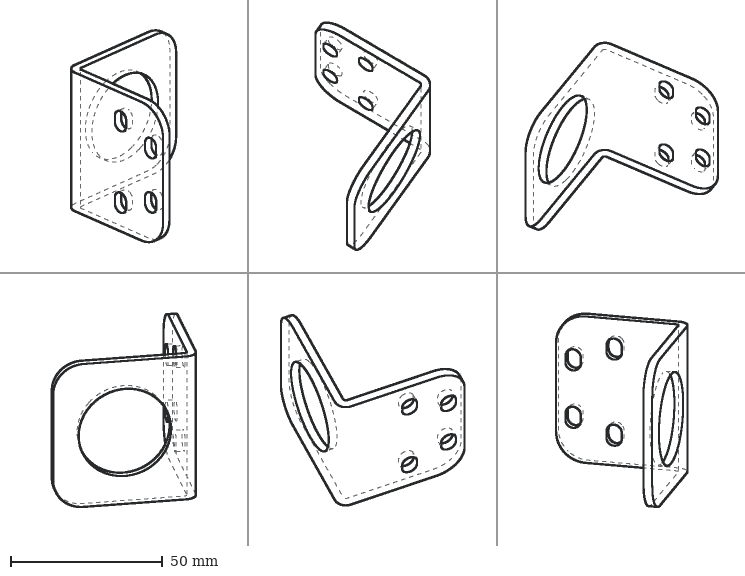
import cadquery as cq

width = 45.0
depth = 48.5
height = 51.0

thickness = 3.0
inner_bend_radius = 1.0
outer_bend_radius = inner_bend_radius + thickness
corner_radius = 10.0

hole_diameter = 31.0
hole_to_free_edge = 24.0

slot_width = 5.2
slot_length = 7.3
slot_pairs = [(19.8, 30.0), (5.8, 20.0)]


def make_angle():
    """L-shaped sheet with its outer bend corner at the origin, centred on Z = 0."""
    profile = (
        cq.Workplane("XY")
        .moveTo(0, 0)
        .lineTo(width, 0)
        .lineTo(width, thickness)
        .lineTo(thickness, thickness)
        .lineTo(thickness, depth)
        .lineTo(0, depth)
        .close()
    )
    angle = profile.extrude(height / 2, both=True)
    outer_corner = cq.selectors.NearestToPointSelector((0, 0, 0))
    angle = angle.edges(outer_corner).fillet(outer_bend_radius)
    inner_corner = cq.selectors.NearestToPointSelector((thickness, thickness, 0))
    return angle.edges(inner_corner).fillet(inner_bend_radius)


def round_free_corners(angle):
    """Round the upper and lower corners at the free end of each leg."""
    angle = angle.faces(">X").edges("|Y").fillet(corner_radius)
    return angle.faces(">Y").edges("|X").fillet(corner_radius)


def make_hole_cutter():
    """Cylinder through the side leg along X."""
    return (
        cq.Workplane("YZ")
        .center(depth - hole_to_free_edge, 0)
        .circle(hole_diameter / 2)
        .extrude(thickness)
    )


def make_slot_cutter():
    """All slots through the front leg along Y."""
    centres = [
        (width - edge_distance, side * spacing / 2)
        for edge_distance, spacing in slot_pairs
        for side in (-1, 1)
    ]
    return (
        cq.Workplane("XZ")
        .pushPoints(centres)
        .slot2D(slot_length, slot_width, 90)
        .extrude(-thickness)
    )


bracket = round_free_corners(make_angle())
result = bracket.cut(make_hole_cutter()).cut(make_slot_cutter())